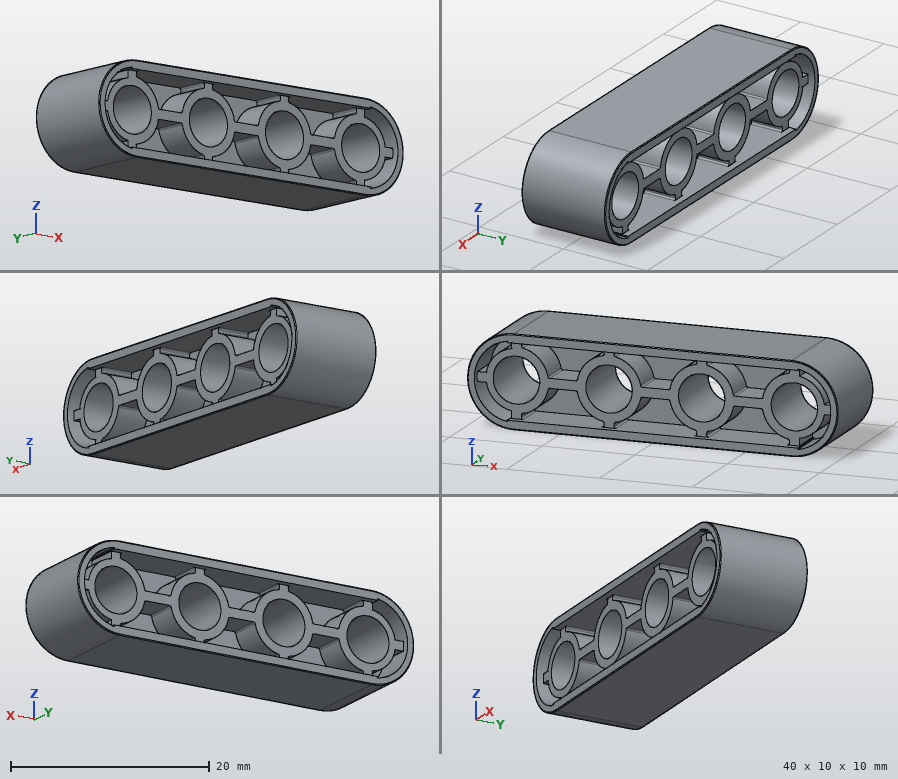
import cadquery as cq

LENGTH = 40.0
HEIGHT = 10.0
DEPTH = 10.0
RIM_CHAMFER = 0.1

HOLE_COUNT = 4
PITCH = LENGTH / HOLE_COUNT
HOLE_DIAMETER = 5.0
HUB_RADIUS = 3.5
OUTER_HUB_RADIUS = 3.3

LONG_RIB_THICKNESS = 1.05
CROSS_RIB_THICKNESS = 1.1
RIB_FILLET = 0.2

CAVITY_HEIGHT = 8.1
END_CAVITY_RADIUS = 4.25
STEP_GAP = 0.14
RECESS_DEPTH = 0.8
FLOOR_THICKNESS = 1.0
CAVITY_DEPTH = (DEPTH - FLOOR_THICKNESS) / 2
POCKET_DEPTH = CAVITY_DEPTH - RECESS_DEPTH

END_CENTER_X = (LENGTH - HEIGHT) / 2
STEP_X = END_CENTER_X + CROSS_RIB_THICKNESS / 2 + STEP_GAP
HUB_CENTERS = [(i * PITCH - END_CENTER_X, 0) for i in range(HOLE_COUNT)]
END_CENTERS = [HUB_CENTERS[0], HUB_CENTERS[-1]]


def plane_at(inset):
    """Plane facing -Y, set in from the front face of the beam."""
    return cq.Workplane("XZ", origin=(0, inset - DEPTH / 2, 0))


def bar():
    """Solid beam with chamfered rims."""
    body = plane_at(DEPTH).slot2D(LENGTH, HEIGHT).extrude(DEPTH)
    return body.faces("<Y or >Y").chamfer(RIM_CHAMFER)


def inner_space(base, depth):
    """Space inside the wall: a straight middle and two slightly taller round ends."""
    slot_length = 2 * (END_CENTER_X + END_CAVITY_RADIUS)
    slot = base.slot2D(slot_length, 2 * END_CAVITY_RADIUS).extrude(depth)
    ends = slot.cut(base.rect(2 * STEP_X, HEIGHT).extrude(depth))
    middle = base.rect(2 * STEP_X, CAVITY_HEIGHT).extrude(depth)
    return middle.union(ends)


def ribs(base):
    """A long rib through all hubs and a cross rib at each hub."""
    long_rib = base.rect(LENGTH, LONG_RIB_THICKNESS).extrude(POCKET_DEPTH)
    cross_ribs = base.pushPoints(HUB_CENTERS).rect(CROSS_RIB_THICKNESS, HEIGHT).extrude(POCKET_DEPTH)
    return long_rib.union(cross_ribs)


def pockets(base):
    """Pockets between hubs, ribs and wall; only those between hub centers have filleted corners."""
    space = inner_space(base, POCKET_DEPTH).cut(ribs(base))
    between_ends = base.rect(2 * END_CENTER_X, HEIGHT).extrude(POCKET_DEPTH)
    hubs = base.pushPoints(HUB_CENTERS).circle(HUB_RADIUS).extrude(POCKET_DEPTH)
    end_hubs = base.pushPoints(END_CENTERS).circle(OUTER_HUB_RADIUS).extrude(POCKET_DEPTH)

    middle_pockets = space.intersect(between_ends).cut(hubs).edges("|Y").fillet(RIB_FILLET)
    end_pockets = space.cut(between_ends).cut(end_hubs)
    return middle_pockets.union(end_pockets)


def front_cavity():
    """Recess below the front rim plus the pockets beneath it."""
    recess = inner_space(plane_at(RECESS_DEPTH), RECESS_DEPTH)
    return recess.union(pockets(plane_at(CAVITY_DEPTH)))


def holes():
    """Round holes through the whole depth."""
    return plane_at(DEPTH).pushPoints(HUB_CENTERS).circle(HOLE_DIAMETER / 2).extrude(DEPTH)


cavity = front_cavity()
result = bar().cut(cavity).cut(cavity.mirror("XZ")).cut(holes())